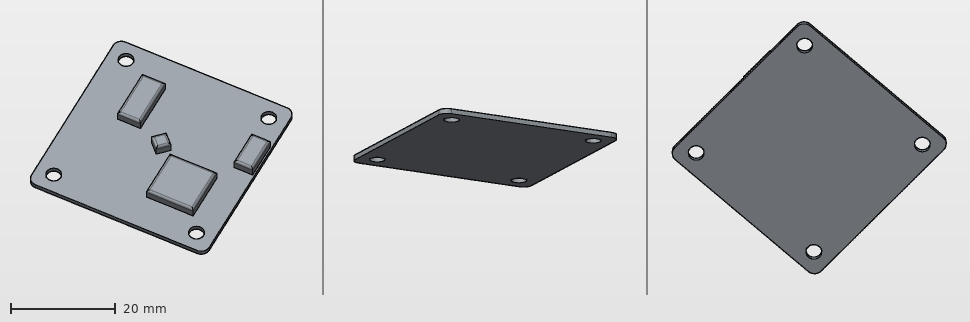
import cadquery as cq

board_side = 38.0
board_thickness = 1.0
corner_radius = 1.75
hole_spacing = 30.5
hole_diameter = 3.0

total_height = 3.0
component_height = total_height - board_thickness
edge_radius = 0.5

chip_side = 10.0
chip_center = (7.9, -7.03)
module_size = (4.95, 10.5)
module_center = (-7.9, 7.22)
connector_size = (4.0, 7.5)
connector_center = (16.65, 5.5)
sensor_side = 3.0
sensor_center = (0, 0)
sensor_angle = 45


def make_board():
    """Flat plate with rounded corners and four mounting holes."""
    plate = cq.Workplane("XY").rect(board_side, board_side).extrude(board_thickness)
    plate = plate.edges("|Z").fillet(corner_radius)
    return (
        plate.faces(">Z")
        .workplane()
        .rect(hole_spacing, hole_spacing, forConstruction=True)
        .vertices()
        .hole(hole_diameter)
    )


def make_component(size_x, size_y, center, angle=0):
    """Block on the board, with its top edges rounded and turned about its own centre."""
    block = cq.Workplane("XY").rect(size_x, size_y).extrude(component_height)
    block = block.faces(">Z").edges().fillet(edge_radius)
    block = block.rotate((0, 0, 0), (0, 0, 1), angle)
    return block.translate((*center, board_thickness))


result = (
    make_board()
    .union(make_component(chip_side, chip_side, chip_center))
    .union(make_component(*module_size, module_center))
    .union(make_component(*connector_size, connector_center))
    .union(make_component(sensor_side, sensor_side, sensor_center, sensor_angle))
)